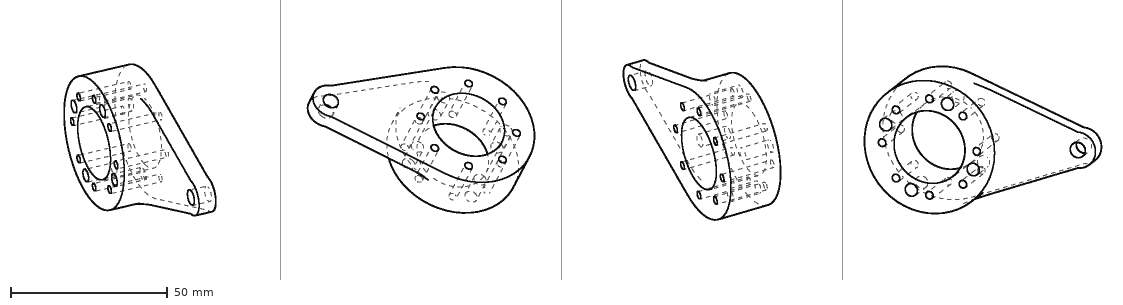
import cadquery as cq
import math

length = 74.0
hub_depth = 18.0
arm_thickness = 6.0
arm_end_radius = 6.0
hub_diameter = 44.0
bore_diameter = 24.0
arm_hole_diameter = 5.0
cove_radius = 2.0
bolt_circle_radius = 16.0
through_hole_diameter = 2.5
through_hole_count = 8
blind_hole_diameter = 4.15
blind_hole_depth = 10.0
blind_hole_count = 4
blind_hole_start_angle = 67.5

hub_radius = hub_diameter / 2
arm_end_x = length - hub_radius - arm_end_radius
arm_front_y = hub_depth - arm_thickness


def front_plane(y):
    """XZ work plane at the given y, with its normal pointing to -Y."""
    return cq.Workplane("XZ", origin=(0, y, 0))


def arm_prism(front_y):
    """Arm outline, tangent to the hub, extruded from front_y to the back face."""
    shoulder_distance = math.hypot(arm_end_x, arm_end_radius)
    tangent_angle = math.atan2(arm_end_radius, arm_end_x) + math.acos(hub_radius / shoulder_distance)
    tangent_x = hub_radius * math.cos(tangent_angle)
    tangent_z = hub_radius * math.sin(tangent_angle)
    return (
        front_plane(hub_depth)
        .moveTo(tangent_x, -tangent_z)
        .lineTo(arm_end_x, -arm_end_radius)
        .threePointArc((arm_end_x + arm_end_radius, 0), (arm_end_x, arm_end_radius))
        .lineTo(tangent_x, tangent_z)
        .close()
        .extrude(hub_depth - front_y)
    )


def cove_ring():
    """Ring of concave section around the hub, starting inside the hub and the arm."""
    inner_radius = bore_diameter / 2
    cove_front_y = arm_front_y - cove_radius
    cove_outer_radius = hub_radius + cove_radius
    arc_offset = cove_radius * (1 - math.sqrt(0.5))
    return (
        cq.Workplane("XY")
        .moveTo(inner_radius, cove_front_y)
        .lineTo(hub_radius, cove_front_y)
        .threePointArc(
            (hub_radius + arc_offset, arm_front_y - arc_offset),
            (cove_outer_radius, arm_front_y),
        )
        .lineTo(cove_outer_radius, hub_depth)
        .lineTo(inner_radius, hub_depth)
        .close()
        .revolve(360, (0, 0, 0), (0, 1, 0))
    )


def hole_ring(diameter, depth, count, start_angle):
    """Cylinders on the bolt circle, reaching from the front face to the given depth."""
    return (
        front_plane(depth)
        .polarArray(bolt_circle_radius, start_angle, 360, count)
        .circle(diameter / 2)
        .extrude(depth)
    )


hub = front_plane(hub_depth).circle(hub_radius).extrude(hub_depth)
arm = arm_prism(arm_front_y)
cove = cove_ring().intersect(arm_prism(0))
body = hub.union(arm).union(cove)

bore = front_plane(hub_depth).circle(bore_diameter / 2).extrude(hub_depth)
arm_hole = (
    front_plane(hub_depth)
    .center(arm_end_x, 0)
    .circle(arm_hole_diameter / 2)
    .extrude(arm_thickness)
)
through_holes = hole_ring(through_hole_diameter, hub_depth, through_hole_count, 0)
blind_holes = hole_ring(blind_hole_diameter, blind_hole_depth, blind_hole_count, blind_hole_start_angle)

result = body.cut(bore).cut(arm_hole).cut(through_holes).cut(blind_holes)